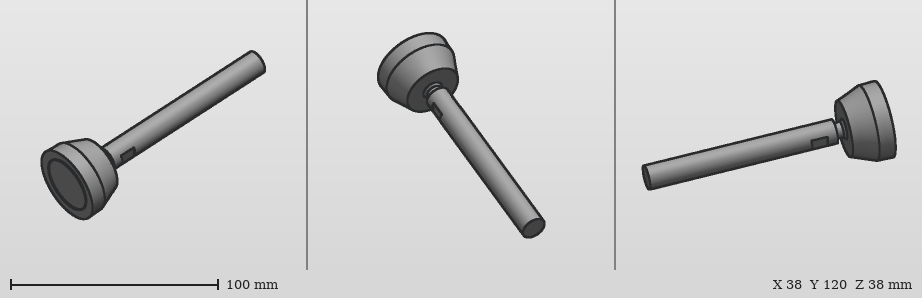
import cadquery as cq

total_length = 120.0

base_diameter = 38.0
shoulder_diameter = 37.5
foot_top_diameter = 28.0
shoulder_height = 8.0
foot_height = 20.0

groove_outer_diameter = 28.0
groove_inner_diameter = 27.5
groove_depth = 0.5

rod_diameter = 12.0
rod_start = 25.0
neck_diameter = 7.8
ball_diameter = 12.0
ball_center = 16.8

flat_start = 30.0
flat_length = 8.0
across_flats = 10.0


def cylinder_along_y(diameter, start, end):
    """Cylinder on the Y axis between two Y positions."""
    plane = cq.Plane(origin=(0, start, 0), xDir=(1, 0, 0), normal=(0, 1, 0))
    return cq.Workplane(plane).circle(diameter / 2).extrude(end - start)


def make_ball():
    """Ball of the joint, also used to cut its socket."""
    return cq.Workplane("XY").sphere(ball_diameter / 2).translate((0, ball_center, 0))


def make_wrench_flat_cuts():
    """Material removed from the -X and +X sides of the rod."""
    middle = flat_start + flat_length / 2
    around_rod = cq.Workplane("XY").box(2 * rod_diameter, flat_length, 2 * rod_diameter)
    between_flats = cq.Workplane("XY").box(across_flats, flat_length, 2 * rod_diameter)
    return around_rod.cut(between_flats).translate((0, middle, 0))


def make_spindle():
    """Rod, neck and ball in one piece."""
    rod = cylinder_along_y(rod_diameter, rod_start, total_length)
    neck = cylinder_along_y(neck_diameter, ball_center, rod_start)
    return rod.cut(make_wrench_flat_cuts()).union(neck).union(make_ball())


def make_foot():
    """Turned foot with a ball socket on top and a ring groove in its base."""
    profile = [
        (0, 0),
        (base_diameter / 2, 0),
        (shoulder_diameter / 2, shoulder_height),
        (foot_top_diameter / 2, foot_height),
        (0, foot_height),
    ]
    body = cq.Workplane("XY").polyline(profile).close().revolve(360, (0, 0, 0), (0, 1, 0))
    groove = cylinder_along_y(groove_outer_diameter, 0, groove_depth).cut(
        cylinder_along_y(groove_inner_diameter, 0, groove_depth)
    )
    return body.cut(make_ball()).cut(groove)


spindle = make_spindle()
foot = make_foot()

result = cq.Compound.makeCompound([spindle.val(), foot.val()])